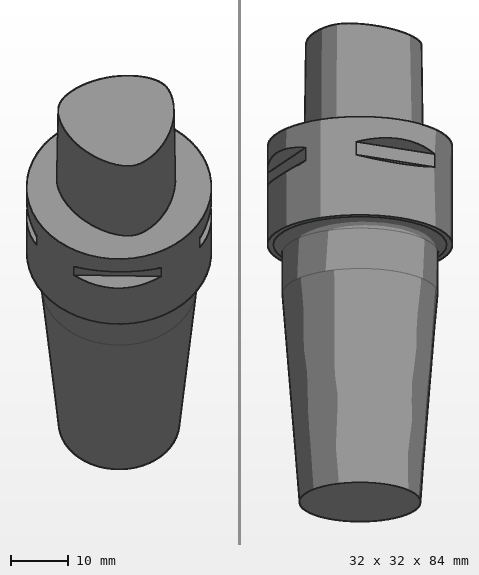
import cadquery as cq
import math

total_height = 84.0
flange_height = 18.0
flange_bottom = 47.0
flange_top = flange_bottom + flange_height
shank_height = total_height - flange_top

nose_diameter = 21.0
collar_diameter = 27.0
taper_height = 38.1
collar_fillet = 1.5

flange_diameter = 32.0
shank_base_width = 20.6
shank_top_width = 20.1
lobe_offset = 0.75

groove_count = 4
groove_first_angle = 45.0
groove_middle = 59.2
groove_floor_height = 2.35
groove_floor_radius = 14.1
groove_side_angle = 30.0
groove_clearance = 0.8


def lobed_curve(width):
    """Curve of constant width with three lobes, one of them toward +Y."""
    def point(t):
        angle = math.pi * (2 * t - 0.5)
        radial = width / 2 - lobe_offset * math.sin(3 * angle)
        tangential = -3 * lobe_offset * math.cos(3 * angle)
        return (
            radial * math.cos(angle) - tangential * math.sin(angle),
            radial * math.sin(angle) + tangential * math.cos(angle),
        )
    return point


def make_shank():
    return (
        cq.Workplane("XY", origin=(0, 0, flange_top))
        .parametricCurve(lobed_curve(shank_base_width))
        .workplane(offset=shank_height)
        .parametricCurve(lobed_curve(shank_top_width))
        .loft(combine=True)
    )


def make_groove_cutter(angle):
    """Straight trapezoidal bar that widens outward from the flat groove floor."""
    outer_radius = flange_diameter / 2 + groove_clearance
    half_floor = groove_floor_height / 2
    flare = (outer_radius - groove_floor_radius) * math.tan(math.radians(groove_side_angle))
    half_mouth = half_floor + flare
    return (
        cq.Workplane("XZ")
        .moveTo(groove_floor_radius, groove_middle - half_floor)
        .lineTo(outer_radius, groove_middle - half_mouth)
        .lineTo(outer_radius, groove_middle + half_mouth)
        .lineTo(groove_floor_radius, groove_middle + half_floor)
        .close()
        .extrude(flange_diameter / 2, both=True)
        .rotate((0, 0, 0), (0, 0, 1), angle)
    )


def make_coupling():
    flange = (
        cq.Workplane("XY", origin=(0, 0, flange_bottom))
        .circle(flange_diameter / 2)
        .extrude(flange_height)
    )
    for index in range(groove_count):
        angle = groove_first_angle + index * 360 / groove_count
        flange = flange.cut(make_groove_cutter(angle))
    return flange.union(make_shank())


def make_chuck():
    collar_radius = collar_diameter / 2
    fillet_bottom = flange_bottom - collar_fillet
    fillet_outer_radius = collar_radius + collar_fillet
    diagonal = collar_fillet * math.sqrt(0.5)
    fillet_middle = (fillet_outer_radius - diagonal, fillet_bottom + diagonal)
    return (
        cq.Workplane("XZ")
        .lineTo(nose_diameter / 2, 0)
        .lineTo(collar_radius, taper_height)
        .lineTo(collar_radius, fillet_bottom)
        .threePointArc(fillet_middle, (fillet_outer_radius, flange_bottom))
        .lineTo(0, flange_bottom)
        .close()
        .revolve(360, (0, 0), (0, 1))
    )


coupling = make_coupling()
chuck = make_chuck()

result = cq.Compound.makeCompound([coupling.val(), chuck.val()])